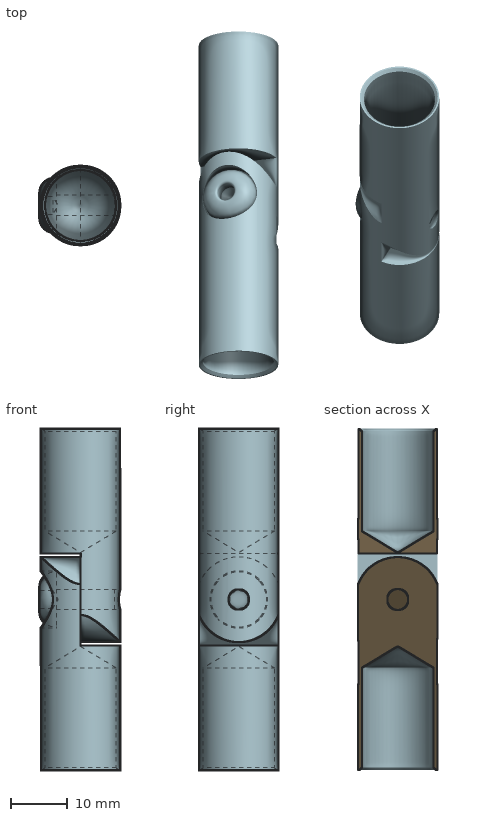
import cadquery as cq
import math

total_length = 60.0
tube_diameter = 14.0
tube_radius = tube_diameter / 2
half_length = total_length / 2

lug_radius = 7.5
shoulder_height = 8.05

bore_radius = 6.25
bore_depth = 18.0
drill_point_angle = 118.0
mouth_chamfer = 0.5

screw_top = 7.25
head_radius = 4.85
head_height = 3.0
head_round = 2.75
shank_radius = 1.8
shank_end = 6.0
counterbore_radius = 5.05
socket_radius = 1.55
socket_depth = 2.4
socket_round = 0.4
seat_distance = screw_top - head_height


def x_cylinder(radius, start, end):
    """Cylinder about the joint axis between two X positions."""
    return cq.Workplane("YZ").workplane(offset=start).circle(radius).extrude(end - start)


def tube_blank(bottom, top):
    """Round bar about Z, with its seam on -X, clear of the screw hole in the lug."""
    bar = cq.Workplane("XY").workplane(offset=bottom).circle(tube_radius).extrude(top - bottom)
    return bar.rotate((0, 0, 0), (0, 0, 1), 180)


def end_bore():
    """Bore with a chamfered mouth at the upper end and a conical drill point."""
    floor = half_length - bore_depth
    point_depth = bore_radius / math.tan(math.radians(drill_point_angle / 2))
    return (
        cq.Workplane("XZ")
        .moveTo(0, floor - point_depth)
        .lineTo(bore_radius, floor)
        .lineTo(bore_radius, half_length - mouth_chamfer)
        .lineTo(bore_radius + mouth_chamfer, half_length)
        .lineTo(0, half_length)
        .close()
        .revolve(360, (0, 0, 0), (0, 1, 0))
    )


def half_joint():
    """Upper tube with a round-ended lug on the +X half."""
    sleeve = tube_blank(shoulder_height, half_length)
    lug_column = tube_blank(-lug_radius, shoulder_height)
    lug_outline = x_cylinder(lug_radius, 0, tube_radius).union(
        cq.Workplane("XY").box(
            tube_radius, tube_diameter, shoulder_height, centered=(False, True, False)
        )
    )
    return sleeve.union(lug_column.intersect(lug_outline)).cut(end_bore())


def make_upper_tube():
    """Tube whose lug takes the screw shank in a through hole."""
    return half_joint().cut(x_cylinder(shank_radius, 0, tube_radius))


def make_lower_tube():
    """Opposite tube, with a clear hole and a counterbore for the screw head."""
    turned = half_joint().rotate((0, 0, 0), (0, 1, 0), 180)
    shank_hole = x_cylinder(shank_radius, -tube_radius, 0)
    counterbore = x_cylinder(counterbore_radius, -tube_radius, -seat_distance)
    return turned.cut(shank_hole).cut(counterbore)


def make_screw():
    """Round-edged head with a conical-bottomed socket with a rounded mouth, and a plain shank."""
    head = x_cylinder(head_radius, -screw_top, -seat_distance).faces("<X").edges().fillet(head_round)
    shank = x_cylinder(shank_radius, -seat_distance, shank_end)
    point_depth = socket_radius / math.tan(math.radians(drill_point_angle / 2))
    socket = (
        cq.Workplane("XY")
        .moveTo(-screw_top, 0)
        .lineTo(-screw_top, socket_radius + socket_round)
        .radiusArc((-screw_top + socket_round, socket_radius), -socket_round)
        .lineTo(-screw_top + socket_depth, socket_radius)
        .lineTo(-screw_top + socket_depth + point_depth, 0)
        .close()
        .revolve(360, (0, 0, 0), (1, 0, 0))
    )
    return head.union(shank).cut(socket)


upper_tube = make_upper_tube()
lower_tube = make_lower_tube()
screw = make_screw()

result = cq.Compound.makeCompound([upper_tube.val(), lower_tube.val(), screw.val()])